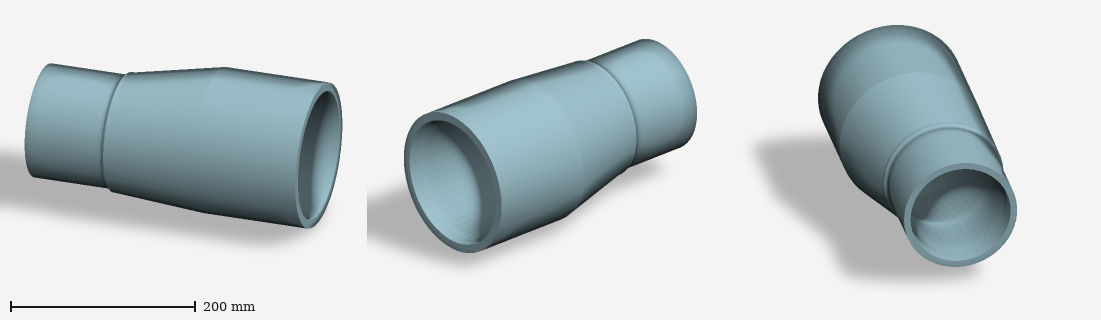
import cadquery as cq

total_length = 310.0
small_pipe_length = 87.0
collar_chamfer = 3.7
collar_length = 7.8
large_pipe_length = 118.0

large_diameter = 160.0
small_diameter = 125.0
collar_diameter = 132.0
small_bore = 110.5
large_bore = 141.0

small_offset = -(large_diameter - collar_diameter) / 2

small_end = -total_length / 2
collar_start = small_end + small_pipe_length
chamfer_end = collar_start + collar_chamfer
cone_start = collar_start + collar_length
large_end = total_length / 2
cone_end = large_end - large_pipe_length


def loft_circles(start, start_diameter, start_y, end, end_diameter, end_y):
    """Solid between two circles that face along X."""
    return (
        cq.Workplane("YZ", origin=(start, start_y, 0))
        .circle(start_diameter / 2)
        .workplane(offset=end - start)
        .center(end_y - start_y, 0)
        .circle(end_diameter / 2)
        .loft(ruled=True)
    )


def cylinder(start, end, diameter, y):
    """Straight round bar along X."""
    return cq.Workplane("YZ", origin=(start, y, 0)).circle(diameter / 2).extrude(end - start)


small_pipe = cylinder(small_end, cone_start, small_diameter, small_offset)
chamfer = loft_circles(
    collar_start, small_diameter, small_offset, chamfer_end, collar_diameter, small_offset
)
collar = cylinder(chamfer_end, cone_start, collar_diameter, small_offset)
cone = loft_circles(cone_start, collar_diameter, small_offset, cone_end, large_diameter, 0)
large_pipe = cylinder(cone_end, large_end, large_diameter, 0)
body = small_pipe.union(chamfer).union(collar).union(cone).union(large_pipe)

passage = (
    cylinder(small_end, cone_start, small_bore, small_offset)
    .union(loft_circles(cone_start, small_bore, small_offset, cone_end, large_bore, 0))
    .union(cylinder(cone_end, large_end, large_bore, 0))
)

result = body.cut(passage)